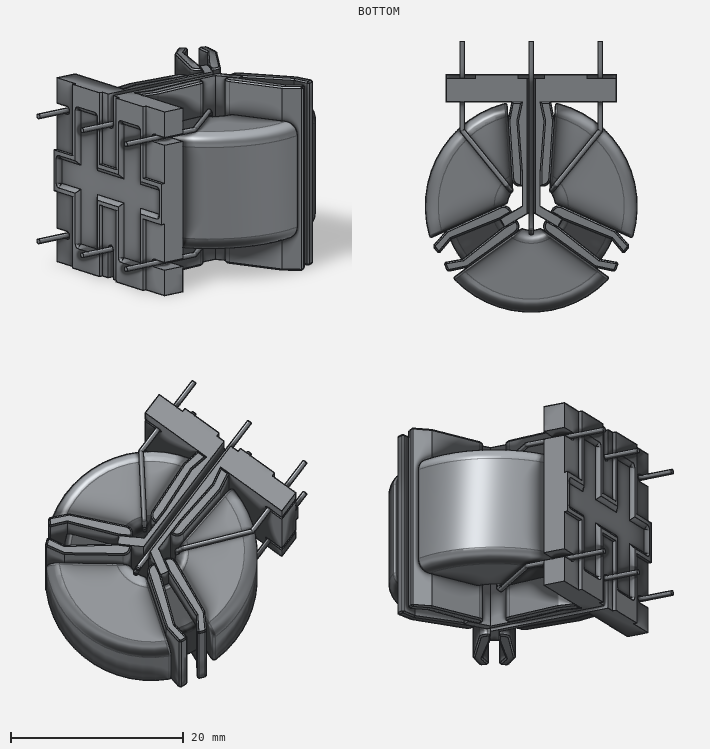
import cadquery as cq
import math


LENGTH = 31.3
BODY_HEIGHT = 22.0
BASE_HALF_WIDTH = 9.83
BASE_BACK_Y = -12.05
BASE_FRONT_Y = -15.2
WALL = 1.03
ARM_ANGLE = 30
ARM_REACH = 3.85
WEB_ANGLE = -90
FIN_CHAMFER = 0.2
FIN_ROOT_FILLET = 0.95

ARM_FIN = [(2.3, 0.5), (3.85, 0.47), (9.92, 1.35), (12.0, 0.6), (12.18, 1.7), (9.85, 2.45), (2.3, 1.7)]
ARM_FIN_TIP = (3, 4)
WEB_FIN = [(2.32, WALL), (4.07, WALL), (9.85, 1.47), (12.08, 1.0), (12.08, 2.25), (9.85, 2.65), (2.32, 2.15)]

CORE_OUTER_R = 10.1
CORE_INNER_R = 3.88
CORE_HEIGHT = 11.83
CORE_FILLET = 0.75
COIL_DIAMETER = 24.5
COIL_OUTER_R = COIL_DIAMETER / 2
COIL_INNER_R = 2.8
COIL_HEIGHT = 13.95
COIL_FILLET = 1.5
COIL_END_FILLET = 0.25

WIRE_R = 0.28
WIRE_Z = 7.48
WIRE_START_Z = 5.63
WIRE_RISE_Z = 7.05
SIDE_WIRE_START = (2.38, -1.88)
SIDE_WIRE_TURN = (2.8, -2.38)
SIDE_WIRE_BEND_Y = -8.75
MIDDLE_WIRE_START = (0, 3.05)
MIDDLE_WIRE_TURN = (0, 2.6)
PIN_X = 7.98
PIN_END_Y = COIL_OUTER_R - LENGTH
SLOT_R = 0.47

RECESS_DEPTH = 0.45
RECESS_HALF_GAP = 2.45
CORNER_RECESS_X = 6.45
MIDDLE_RECESS_X = 1.53
POCKET_DEPTH = 0.45
POCKET_BAR = (18.85, 3.88)
POCKET_COLUMN = (4.0, 16.95)
POCKET_COLUMN_X = 3.95
POCKET_SLOPE = 0.5

FAR = 62.6


def place(point, angle):
    """Turn a point given along and across an arm into X and Y."""
    along, across = point
    turn = math.radians(angle)
    x = along * math.cos(turn) - across * math.sin(turn)
    y = along * math.sin(turn) + across * math.cos(turn)
    return (x, y)


def mirrored(shape):
    """Join a shape with its mirror image across the YZ plane."""
    return shape.union(shape.mirror("YZ"))


def flipped(points):
    """Mirror an outline across the arm's middle plane."""
    return [(along, -across) for along, across in points]


def prism(points, height):
    return cq.Workplane("XY").polyline(points).close().extrude(height / 2, both=True)


def box(x_range, y_range, z_range):
    lows, highs = zip(x_range, y_range, z_range)
    size = [high - low for low, high in zip(lows, highs)]
    return cq.Workplane("XY").box(*size, centered=False).translate(lows)


def ring(outer_r, inner_r, height, fillet):
    blank = cq.Workplane("XY").circle(outer_r).circle(inner_r).extrude(height / 2, both=True)
    return blank.edges("%CIRCLE").fillet(fillet)


def corner(point):
    """Selector for the upright edge of a plate at an outline point."""
    return cq.NearestToPointSelector((point[0], point[1], 0))


def fin(points, angle, tip_corners=()):
    """Bent plate rounded at its root, with bevelled rims and, where given, bevelled tip corners."""
    outline = [place(point, angle) for point in points]
    plate = prism(outline, BODY_HEIGHT)
    plate = plate.edges(corner(outline[-1])).fillet(FIN_ROOT_FILLET)
    for index in tip_corners:
        plate = plate.edges(corner(outline[index])).chamfer(FIN_CHAMFER)
    return plate.faces("<Z or >Z").chamfer(FIN_CHAMFER)


def rest_line(points, angle, reach):
    """Ends of the straight line that runs along the winding side of a fin."""
    (u1, v1), (u0, v0) = points[-2:]
    slope = (v1 - v0) / (u1 - u0)
    return [place((u, v0 + slope * (u - u0)), angle) for u in (0, reach)]


def winding(start_line, end_line):
    """Part of the rounded coil ring between two rest lines, with softened ends."""
    wedge = prism(start_line + end_line[::-1], FAR)
    full_coil = ring(COIL_OUTER_R, COIL_INNER_R, COIL_HEIGHT, COIL_FILLET)
    sector = full_coil.intersect(wedge)
    return sector.faces("#Z").edges().fillet(COIL_END_FILLET)


def build_separator():
    """Y-shaped web and arms with a pair of fins on each; the web fills the gap between its fins."""
    arm_outline = [(0, -WALL / 2), (ARM_REACH, -WALL / 2), (ARM_REACH, WALL / 2), (0, WALL / 2)]
    half = prism([place(point, ARM_ANGLE) for point in arm_outline], BODY_HEIGHT)
    web_outline = [(0, 0), (0, WALL)] + WEB_FIN[1:4] + [(WEB_FIN[3][0], 0)]
    half = half.union(prism([place(point, WEB_ANGLE) for point in web_outline], BODY_HEIGHT))
    half = half.union(fin(ARM_FIN, ARM_ANGLE, ARM_FIN_TIP))
    half = half.union(fin(flipped(ARM_FIN), ARM_ANGLE, ARM_FIN_TIP))
    half = half.union(fin(WEB_FIN, WEB_ANGLE))
    return mirrored(half)


def build_base():
    block = box(
        (-BASE_HALF_WIDTH, BASE_HALF_WIDTH),
        (BASE_FRONT_Y, BASE_BACK_Y),
        (-BODY_HEIGHT / 2, BODY_HEIGHT / 2),
    )
    recess_y = (BASE_FRONT_Y, BASE_FRONT_Y + RECESS_DEPTH)
    columns = [(-FAR, -CORNER_RECESS_X), (-MIDDLE_RECESS_X, MIDDLE_RECESS_X), (CORNER_RECESS_X, FAR)]
    for x_range in columns:
        for z_range in [(RECESS_HALF_GAP, FAR), (-FAR, -RECESS_HALF_GAP)]:
            block = block.cut(box(x_range, recess_y, z_range))
    block = block.cut(sloped_pocket(0, *POCKET_BAR))
    for x in (-POCKET_COLUMN_X, POCKET_COLUMN_X):
        block = block.cut(sloped_pocket(x, *POCKET_COLUMN))
    return block


def sloped_pocket(x, width, height):
    """Pocket in the base front whose walls flare outward from a sharp-cornered floor."""
    floor = cq.Workplane("XZ", origin=(x, BASE_FRONT_Y + POCKET_DEPTH, 0))
    floor = floor.rect(width - 2 * POCKET_SLOPE, height - 2 * POCKET_SLOPE)
    flare = math.degrees(math.atan(POCKET_SLOPE / POCKET_DEPTH))
    return floor.extrude(POCKET_DEPTH, taper=-flare)


def wire_slots():
    """Round-ended slots, open at the sides for the outer pins and at +/-Z for the middle ones."""
    side = cq.Workplane("XZ").circle(SLOT_R).extrude(FAR)
    side = side.union(box((0, FAR), (-FAR, 0), (-SLOT_R, SLOT_R)))
    middle = cq.Workplane("XZ").circle(SLOT_R).extrude(FAR, both=True)
    middle = middle.union(box((-SLOT_R, SLOT_R), (-FAR, FAR), (0, FAR)))
    upper = mirrored(side.translate((PIN_X, BASE_BACK_Y, 0))).union(middle)
    upper = upper.translate((0, 0, WIRE_Z))
    return upper.union(upper.mirror("XY"))


def lead(points):
    """Round wire through the given points, ending square on the last one."""
    start, following = cq.Vector(*points[0]), cq.Vector(*points[1])
    section = cq.Workplane(cq.Plane(origin=start, normal=following - start)).circle(WIRE_R)
    return section.sweep(cq.Workplane("XY").polyline(points), transition="round")


def build_leads():
    side = lead([
        (*SIDE_WIRE_START, WIRE_START_Z),
        (*SIDE_WIRE_START, WIRE_RISE_Z),
        (*SIDE_WIRE_TURN, WIRE_Z),
        (PIN_X, SIDE_WIRE_BEND_Y, WIRE_Z),
        (PIN_X, PIN_END_Y, WIRE_Z),
    ])
    middle = lead([
        (*MIDDLE_WIRE_START, WIRE_START_Z),
        (*MIDDLE_WIRE_START, WIRE_RISE_Z),
        (*MIDDLE_WIRE_TURN, WIRE_Z),
        (0, PIN_END_Y, WIRE_Z),
    ])
    upper = mirrored(side).union(middle)
    return upper.union(upper.mirror("XY"))


def build_windings():
    web_line = rest_line(WEB_FIN, WEB_ANGLE, FAR)
    arm_lower_line = rest_line(flipped(ARM_FIN), ARM_ANGLE, FAR)
    arm_upper_line = rest_line(ARM_FIN, ARM_ANGLE, FAR)
    other_arm_line = [(-x, y) for x, y in arm_upper_line]
    side = winding(web_line, arm_lower_line)
    return mirrored(side).union(winding(arm_upper_line, other_arm_line))


core = ring(CORE_OUTER_R, CORE_INNER_R, CORE_HEIGHT, CORE_FILLET)
result = (
    build_separator()
    .union(build_base())
    .cut(wire_slots())
    .union(core)
    .union(build_windings())
    .union(build_leads())
)